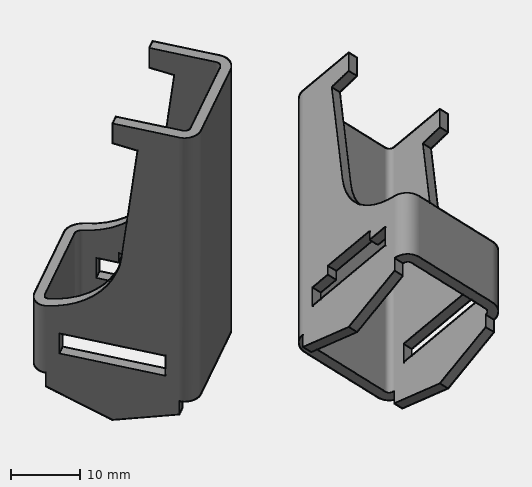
import cadquery as cq
import math

length_x = 25.4
width_y = 19.05
height = 57.15

wall = 1.6
outer_radius = 2.5
inner_radius = outer_radius - wall
tube_bottom = 6.35

tongue_length = length_x - 2 * outer_radius
tongue_shoulder = 3.8

scoop_radius = 14.5
scoop_bottom = 19.05
scoop_center_x = -length_x / 2 - 0.35
scoop_center_z = scoop_bottom + scoop_radius
lean_angle = math.radians(6.5)
hook_tip_x = 0.0
hook_tip_z = 53.3

slot_length = 16.1
slot_height = 3.85
slot_bottom = 10.7
notch_length = 9.25
notch_height = 1.85


def tube():
    """Rounded rectangular tube, open at both ends."""
    tube_height = height - tube_bottom
    base = cq.Workplane("XY").workplane(offset=tube_bottom)
    outer = base.rect(length_x, width_y).extrude(tube_height).edges("|Z").fillet(outer_radius)
    inner = base.rect(length_x - 2 * wall, width_y - 2 * wall).extrude(tube_height)
    return outer.cut(inner.edges("|Z").fillet(inner_radius))


def tongue(plate_y):
    """Pointed plate, one wall thick, whose +Y face lies at plate_y."""
    half = tongue_length / 2
    return (
        cq.Workplane("XZ", origin=(0, plate_y, 0))
        .moveTo(-half, tube_bottom)
        .lineTo(-half, tongue_shoulder)
        .lineTo(0, 0)
        .lineTo(half, tongue_shoulder)
        .lineTo(half, tube_bottom)
        .close()
        .extrude(wall)
    )


def scoop_point(angle):
    """Point on the scoop circle, with the angle measured below the +X direction."""
    return (
        scoop_center_x + scoop_radius * math.cos(angle),
        scoop_center_z - scoop_radius * math.sin(angle),
    )


def scoop():
    """Cutter that opens the -X side; the hook underside is square to the leaning edge."""
    tangent_x, tangent_z = scoop_point(lean_angle)
    lean_length = (
        (hook_tip_x - tangent_x) * math.sin(lean_angle)
        + (hook_tip_z - tangent_z) * math.cos(lean_angle)
    )
    hook_corner = (
        tangent_x + lean_length * math.sin(lean_angle),
        tangent_z + lean_length * math.cos(lean_angle),
    )
    outside_x = -length_x
    return (
        cq.Workplane("XZ")
        .moveTo(outside_x, scoop_bottom)
        .lineTo(scoop_center_x, scoop_bottom)
        .threePointArc(scoop_point(math.radians(45)), (tangent_x, tangent_z))
        .lineTo(*hook_corner)
        .lineTo(hook_tip_x, hook_tip_z)
        .lineTo(hook_tip_x, height)
        .lineTo(outside_x, height)
        .close()
        .extrude(width_y, both=True)
    )


def slots():
    """Slot through both side walls, with a raised centre notch in the +Y wall only."""
    slot = cq.Workplane("XY").box(slot_length, 2 * width_y, slot_height, centered=(True, True, False))
    notch = cq.Workplane("XY").box(
        notch_length, width_y, slot_height + notch_height, centered=(True, False, False)
    )
    return slot.union(notch).translate((0, 0, slot_bottom))


body = tube()
for plate_y in (width_y / 2, -width_y / 2 + wall):
    body = body.union(tongue(plate_y))

result = body.cut(scoop()).cut(slots())